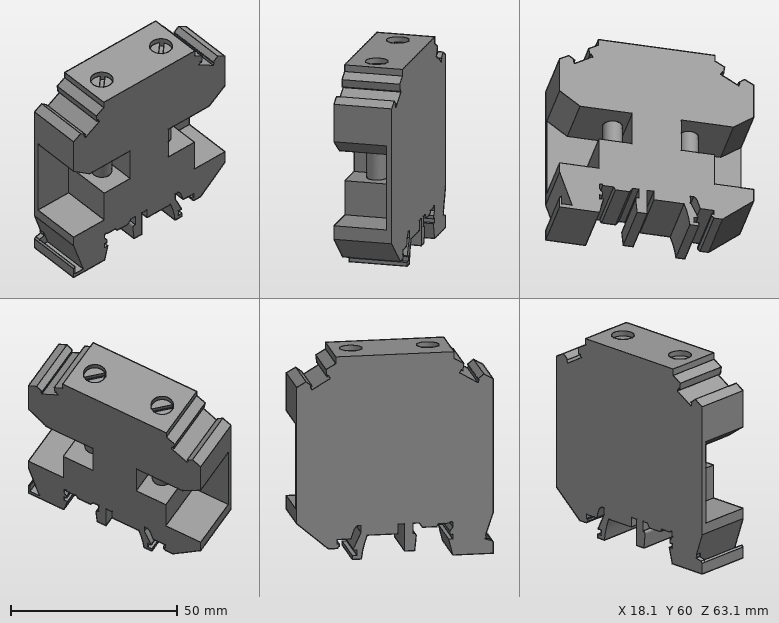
import cadquery as cq

width = 18.05
length = 60.0
height = 63.1
half_length = length / 2

wall = 1.65

screw_x = 9.8
screw_y = 11.75
screw_hole_diameter = 6.8
screw_head_depth = 1.65
screw_slot_width = 1.3
screw_slot_depth = 1.25
screw_slot_angle = -45
screw_shank_diameter = 6.05

entry_floor_z = 16.1
entry_step_z = 26.75
entry_ceiling_z = 37.8
entry_mouth_z = 42.4
entry_step_y = 17.85
entry_back_y = 7.6
entry_taper_depth = 6.3
entry_taper_y = half_length - entry_taper_depth

relief_top_z = 12.75
relief_inner_y = -27.65
relief_inner_z = 5.7
lip_front_z = 3.55
lip_crest_z = 4.05
lip_thickness = 0.55
lip_inner_y = -half_length + lip_thickness
groove_floor_z = 1.25

upper_corner = [
    (18.05, height),
    (18.05, 61.0),
    (21.0, 59.3),
    (20.7, 57.0),
    (20.3, 57.5),
    (19.75, 56.5),
    (25.3, 53.2),
    (25.7, 54.1),
    (25.25, 54.3),
    (27.15, 55.8),
    (half_length, 54.15),
]


def housing():
    """Extrude the side outline, including the rail feet, over the full width."""
    rail_z = 7.3
    slot_top_z = 10.4
    outline = cq.Workplane("YZ").polyline([(-y, z) for y, z in upper_corner])

    outline = outline.lineTo(-half_length, relief_top_z).lineTo(relief_inner_y, relief_inner_z)
    outline = outline.threePointArc((-27.75, 5.2), (-27.5, 4.55))
    outline = outline.lineTo(lip_inner_y, lip_crest_z)
    outline = outline.lineTo(-half_length, lip_front_z).lineTo(-half_length, 0)
    outline = outline.lineTo(-17.65, 0).lineTo(-16.4, 5.0).lineTo(-17.65, 5.0)
    outline = outline.lineTo(-17.65, 6.45).lineTo(-16.7, 6.45).lineTo(-16.7, 7.45)
    outline = outline.lineTo(-17.65, 8.8).lineTo(-17.65, 10.0)
    outline = outline.threePointArc((-17.15, slot_top_z), (-16.65, 10.0))

    outline = outline.lineTo(-13.3, 10.0).lineTo(-12.75, 9.0).lineTo(-8.4, 9.0)
    outline = outline.lineTo(-7.4, slot_top_z).lineTo(-5.55, slot_top_z).lineTo(-5.55, 7.25)
    outline = outline.threePointArc((-6.3, 7.0), (-6.5, 6.45))
    outline = outline.lineTo(-6.05, 1.9).lineTo(-2.95, 1.9).lineTo(-2.95, slot_top_z)
    outline = outline.lineTo(-0.9, slot_top_z).lineTo(-0.9, rail_z).lineTo(8.45, rail_z)

    outline = outline.threePointArc((9.6, 3.65), (10.2, 0))
    outline = outline.lineTo(13.0, 0).lineTo(13.0, 1.2).lineTo(11.55, 1.2).lineTo(11.55, 2.9)
    outline = outline.lineTo(12.75, 2.9).lineTo(12.75, 3.2).lineTo(10.35, 8.25).lineTo(10.35, slot_top_z)
    outline = outline.lineTo(11.35, slot_top_z).threePointArc((12.05, 9.9), (12.55, 9.0))

    outline = outline.lineTo(13.45, 6.4).lineTo(17.65, 6.4).lineTo(17.65, 5.0)
    outline = outline.lineTo(17.0, 5.0).lineTo(17.0, 4.3).lineTo(17.65, 3.6)
    outline = outline.lineTo(20.3, 3.6).lineTo(half_length, 11.85)

    for y, z in reversed(upper_corner):
        outline = outline.lineTo(y, z)
    return outline.close().extrude(width)


def conductor_entry():
    """Stepped funnel on the -Y end, open to +X, with the screw shank left standing in it."""
    entry = (
        cq.Workplane("YZ", origin=(wall, 0, 0))
        .moveTo(-half_length, entry_floor_z)
        .lineTo(-entry_step_y, entry_floor_z)
        .lineTo(-entry_step_y, entry_step_z)
        .lineTo(-entry_back_y, entry_step_z)
        .lineTo(-entry_back_y, entry_ceiling_z)
        .lineTo(-entry_taper_y, entry_ceiling_z)
        .lineTo(-half_length, entry_mouth_z)
        .close()
        .extrude(width - wall)
    )
    shank = (
        cq.Workplane("XY", origin=(screw_x, -screw_y, entry_floor_z))
        .circle(screw_shank_diameter / 2)
        .extrude(entry_mouth_z - entry_floor_z)
    )
    return entry.cut(shank)


def screw_recess(y):
    """Round hole down to the screw head, plus the driver slot across the head."""
    head_z = height - screw_head_depth
    hole = (
        cq.Workplane("XY", origin=(screw_x, y, head_z))
        .circle(screw_hole_diameter / 2)
        .extrude(screw_head_depth)
    )
    slot_reach = (
        cq.Workplane("XY", origin=(screw_x, y, head_z - screw_slot_depth))
        .circle(screw_hole_diameter / 2)
        .extrude(screw_slot_depth)
    )
    slot = (
        cq.Workplane("XY", origin=(screw_x, y, head_z - screw_slot_depth))
        .transformed(rotate=(0, 0, screw_slot_angle))
        .rect(screw_hole_diameter, screw_slot_width)
        .extrude(screw_slot_depth)
        .intersect(slot_reach)
    )
    return hole.union(slot)


def lip_groove():
    """Groove that carries the slanted relief down behind the lip, beside the side wall."""
    relief_slope = (relief_inner_y + half_length) / (relief_top_z - relief_inner_z)
    groove_inner_y = -half_length + relief_slope * (relief_top_z - groove_floor_z)
    return (
        cq.Workplane("YZ", origin=(wall, 0, 0))
        .moveTo(-half_length, relief_top_z)
        .lineTo(groove_inner_y, groove_floor_z)
        .lineTo(lip_inner_y, groove_floor_z)
        .lineTo(lip_inner_y, lip_crest_z)
        .lineTo(-half_length, lip_front_z)
        .close()
        .extrude(width - wall)
    )


result = housing()
entry = conductor_entry()
result = result.cut(entry).cut(entry.mirror("XZ"))
result = result.cut(lip_groove())
for y in (-screw_y, screw_y):
    result = result.cut(screw_recess(y))